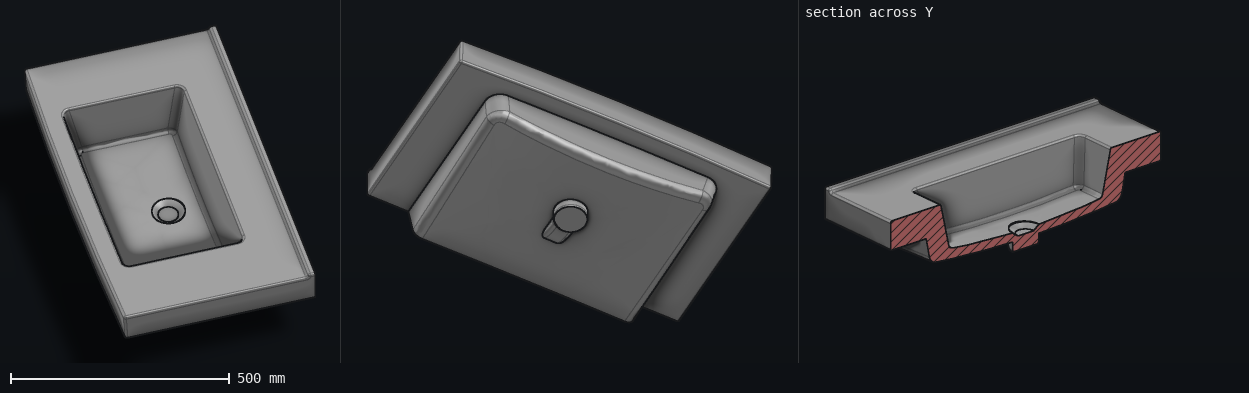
import cadquery as cq

width = 808.0
half_width = width / 2

slab_top = -8.0
slab_bottom = -82.5
front_center = -466.0
front_corner = -457.5
front_draft = 3.0
slab_rounding = 6.0

ledge_flat = 11.0
ledge_curve_run = 6.0

opening_half_width = 253.0
opening_back = -124.5
opening_front_center = -415.0
opening_front_corner = -412.0
basin_draft = 12.5
basin_corner_radius = 18.0
basin_lip_radius = 6.0
basin_floor_radius = 12.0

floor_half_width = 226.0
floor_side = -125.0
floor_back_center = -129.0
floor_drain_center = -139.0
floor_front_center = -132.5

bowl_half_width = 297.5
bowl_front_center = -415.0
bowl_front_corner = -412.0
bowl_corner_radius = 40.5
bowl_draft = 11.0
bowl_rounding = 24.0
under_half_width = 283.0
under_back_side = -160.0
under_back_center = -158.0
under_front_side = -137.0
under_front_center = -166.5

drain_y = -232.0
spigot_radius = 40.0
spigot_bottom = -187.5
spigot_rim_height = 6.5
spigot_rim_inset = 2.0
funnel_top_radius = 39.0
funnel_bottom_radius = 23.5
funnel_depth = 11.0
channel_half_width = 28.0
channel_rounding = 12.0
channel_start = (-128.0, -155.0)
channel_middle = (-157.0, -173.0)
channel_end = (-194.0, -181.0)

overlap = 40.5
margin = 2.0


def bowed_outline(top, half, back, front_corner_y, front_center_y):
    """Rectangle whose front edge bows outward, at height `top`."""
    return (
        cq.Workplane("XY", origin=(0, 0, top))
        .moveTo(-half, back)
        .lineTo(-half, front_corner_y)
        .threePointArc((0, front_center_y), (half, front_corner_y))
        .lineTo(half, back)
        .close()
    )


def arched_section(y, half, side_z, center_z, top):
    """Section across the width at depth `y`, with a bottom edge sagging to `center_z`."""
    return (
        cq.Workplane("XZ", origin=(0, y, 0))
        .moveTo(-half, top)
        .lineTo(-half, side_z)
        .threePointArc((0, center_z), (half, side_z))
        .lineTo(half, top)
        .close()
        .wires()
        .val()
    )


def arched_loft(stations, half, top, ruled):
    """Body through arched sections, each given as depth, height at `half` and height at the centre."""
    spread = (half_width / half) ** 2
    sections = [
        arched_section(y, half_width, center + (side - center) * spread, center, top)
        for y, side, center in stations
    ]
    return cq.Workplane(obj=cq.Solid.makeLoft(sections, ruled))


def make_slab():
    sag = front_corner - front_center
    plan_half = half_width + overlap
    plan_corner = front_center + sag * (plan_half / half_width) ** 2
    drafted = bowed_outline(0, plan_half, overlap, plan_corner, front_center).extrude(
        slab_bottom, taper=front_draft
    )
    ledge_curve_drop = slab_top / 2
    side_profile = (
        cq.Workplane("YZ", origin=(-half_width, 0, 0))
        .moveTo(0, slab_bottom)
        .lineTo(0, 0)
        .lineTo(-ledge_flat, 0)
        .tangentArcPoint((-ledge_curve_run, ledge_curve_drop))
        .tangentArcPoint((-ledge_curve_run, ledge_curve_drop))
        .lineTo(front_center - overlap, slab_top)
        .lineTo(front_center - overlap, slab_bottom)
        .close()
        .extrude(width)
    )
    slab = side_profile.intersect(drafted)
    return slab.faces("<X or >X or <Y").edges("not >Y").fillet(slab_rounding)


def make_bowl():
    """Solid bowl body below the slab, flat against the wall."""
    walls = (
        bowed_outline(slab_bottom, bowl_half_width, overlap, bowl_front_corner, bowl_front_center)
        .extrude(under_front_center - slab_bottom - overlap, taper=bowl_draft)
        .faces("<X or >X")
        .edges("not #Z")
        .edges("<Y")
        .fillet(bowl_corner_radius)
    )
    stations = (
        (0, under_back_side, under_back_center),
        (bowl_front_center, under_front_side, under_front_center),
    )
    bowl = walls.intersect(arched_loft(stations, under_half_width, slab_bottom, ruled=True))
    lower_edges = cq.selectors.BoxSelector(
        (-half_width, bowl_front_center, spigot_bottom),
        (half_width, -overlap, under_front_side + bowl_rounding / 2),
    )
    return bowl.edges(lower_edges).fillet(bowl_rounding)


def make_basin():
    """Hollow of the basin, with rounded wall corners and a dished floor."""
    walls = (
        bowed_outline(
            slab_top, opening_half_width, opening_back, opening_front_corner, opening_front_center
        )
        .extrude(floor_drain_center - slab_top - overlap, taper=basin_draft)
        .faces("<X or >X")
        .edges("not #Z")
        .fillet(basin_corner_radius)
    )
    stations = (
        (opening_back, floor_side, floor_back_center),
        (drain_y, floor_side, floor_drain_center),
        (opening_front_center, floor_side, floor_front_center),
    )
    hollow = walls.intersect(arched_loft(stations, floor_half_width, slab_top + overlap, ruled=False))
    return hollow.faces("<Z").edges().fillet(basin_floor_radius)


def round_lip(washbasin):
    lip_edges = cq.selectors.BoxSelector(
        (-opening_half_width - margin, opening_front_center - margin, slab_top - margin),
        (opening_half_width + margin, opening_back + margin, slab_top + margin),
    )
    return washbasin.edges(lip_edges).fillet(basin_lip_radius)


def make_overflow_channel():
    lower_edges = cq.selectors.NearestToPointSelector(
        (-channel_half_width, *channel_middle)
    ) + cq.selectors.NearestToPointSelector((channel_half_width, *channel_middle))
    return (
        cq.Workplane("YZ", origin=(-channel_half_width, 0, 0))
        .moveTo(*channel_start)
        .threePointArc(channel_middle, channel_end)
        .lineTo(drain_y, channel_end[1])
        .lineTo(drain_y, channel_start[1])
        .close()
        .extrude(2 * channel_half_width)
        .faces("<X or >X")
        .edges(lower_edges)
        .fillet(channel_rounding)
    )


def make_spigot():
    """Drain outlet, slightly narrowed at its lower rim."""
    return (
        cq.Workplane("XY", origin=(0, drain_y, spigot_bottom))
        .circle(spigot_radius)
        .extrude(floor_drain_center - funnel_depth - spigot_bottom)
        .faces("<Z")
        .chamfer(spigot_rim_height, spigot_rim_inset)
    )


def make_funnel():
    """Blind conical recess at the drain, open upwards into the basin."""
    bottom = floor_drain_center - funnel_depth
    return (
        cq.Workplane("XZ", origin=(0, drain_y, 0))
        .moveTo(0, bottom)
        .lineTo(funnel_bottom_radius, bottom)
        .lineTo(funnel_top_radius, floor_drain_center)
        .lineTo(funnel_top_radius, floor_drain_center + funnel_depth)
        .lineTo(0, floor_drain_center + funnel_depth)
        .close()
        .revolve(360, (0, 0), (0, 1))
    )


body = make_slab().union(make_bowl()).union(make_overflow_channel()).union(make_spigot())
washbasin = body.cut(make_basin()).cut(make_funnel())
result = round_lip(washbasin)